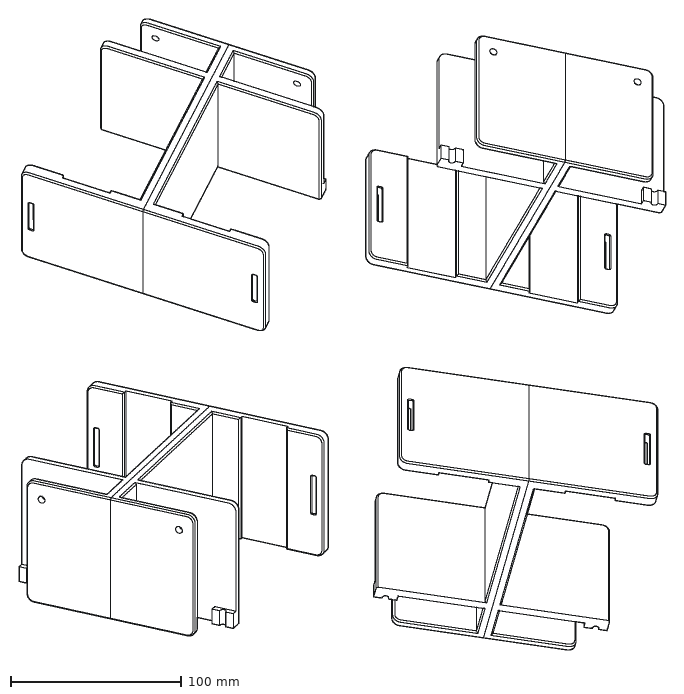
import cadquery as cq

HEIGHT = 80.0
DEPTH = 135.0
WALL = 5.0
FRONT_WALL = 7.8
BACK_GAP = 20.0
CORNER_RADIUS = 5.0
EDGE_CHAMFER = 1.0

FRONT_REACH = 77.5
MIDDLE_REACH = 70.0
BACK_REACH = 55.0

SLOT_WIDTH = 2.8
SLOT_LENGTH = 24.8
SLOT_INSET = 6.5
SLOT_CORNER_RADIUS = 0.8
SLOT_CHAMFER = 0.55

RECESS_WIDTH = 30.0
RECESS_DEPTH = 2.8
RECESS_INSET = 24.5

LUG_WIDTH = 14.0
LUG_DEPTH = 3.5
LUG_HEIGHT = 9.8
GROOVE_WIDTH = 3.9
GROOVE_DEPTH = 2.3

HOLE_DIAMETER = 4.3
HOLE_INSET = 10.0
HOLE_DROP = 10.8

BACK_PLATE_Y = DEPTH - WALL
MIDDLE_BACK_Y = BACK_PLATE_Y - BACK_GAP
MIDDLE_FRONT_Y = MIDDLE_BACK_Y - WALL


def block(x_min, x_max, y_min, y_max, z_min, z_max):
    """Box given by its limits along the three axes."""
    size = (x_max - x_min, y_max - y_min, z_max - z_min)
    return cq.Workplane("XY").box(*size, centered=False).translate((x_min, y_min, z_min))


def rounded_plate(reach, y_front, thickness, z_min, chamfered_faces):
    """Plate from the seam to its reach, with round outer corners and chamfered face edges."""
    y_back = y_front + thickness
    full_plate = block(-reach, reach, y_front, y_back, z_min, HEIGHT).edges("|Y").fillet(CORNER_RADIUS)
    for face in chamfered_faces:
        full_plate = full_plate.faces(face).edges().chamfer(EDGE_CHAMFER)
    return full_plate.intersect(block(0, reach, y_front, y_back, 0, HEIGHT))


def make_web():
    """Web beside the seam, stopping short of the chamfers on the outer plate faces."""
    web = block(0, WALL, EDGE_CHAMFER, DEPTH - EDGE_CHAMFER, 0, HEIGHT)
    return web.faces(">X").edges("|Y").chamfer(EDGE_CHAMFER)


def slot_cutter():
    """Slot with rounded corners that widens by a chamfer at both faces of the front plate."""
    x = FRONT_REACH - SLOT_INSET
    mouth_width = SLOT_WIDTH + 2 * SLOT_CHAMFER
    mouth_length = SLOT_LENGTH + 2 * SLOT_CHAMFER
    mouth_radius = SLOT_CORNER_RADIUS + SLOT_CHAMFER
    outline = cq.Sketch().rect(SLOT_WIDTH, SLOT_LENGTH).vertices().fillet(SLOT_CORNER_RADIUS)
    mouth_outline = cq.Sketch().rect(mouth_width, mouth_length).vertices().fillet(mouth_radius)
    through = cq.Workplane("XZ", origin=(x, FRONT_WALL, HEIGHT / 2)).placeSketch(outline).extrude(FRONT_WALL)
    front_mouth = (
        cq.Workplane("XZ", origin=(x, SLOT_CHAMFER, HEIGHT / 2))
        .placeSketch(outline, mouth_outline.moved(cq.Location(cq.Vector(0, 0, SLOT_CHAMFER))))
        .loft(ruled=True)
    )
    back_mouth = front_mouth.mirror("XZ", (0, FRONT_WALL / 2, 0))
    return through.union(front_mouth).union(back_mouth)


def recess_cutter():
    """Full-height recess whose long edges are chamfered at the inner face."""
    x_max = FRONT_REACH - RECESS_INSET
    x_min = x_max - RECESS_WIDTH
    y_floor = FRONT_WALL - RECESS_DEPTH
    y_chamfer = FRONT_WALL - EDGE_CHAMFER
    outline = [
        (x_min, y_floor),
        (x_max, y_floor),
        (x_max, y_chamfer),
        (x_max + EDGE_CHAMFER, FRONT_WALL),
        (x_min - EDGE_CHAMFER, FRONT_WALL),
        (x_min, y_chamfer),
    ]
    return cq.Workplane("XY").polyline(outline).close().extrude(HEIGHT)


def make_front_plate():
    plate = rounded_plate(FRONT_REACH, 0, FRONT_WALL, 0, ("<Y", ">Y"))
    return plate.cut(slot_cutter()).cut(recess_cutter())


def make_middle_plate():
    """Plate with square, unchamfered bottom edge: its rounded lower end is trimmed off."""
    trimmed_end = -2 * CORNER_RADIUS
    return rounded_plate(MIDDLE_REACH, MIDDLE_FRONT_Y, WALL, trimmed_end, ("<Y",))


def make_lug():
    """Lug flush with the end and bottom of the middle plate, grooved along Z."""
    x_min = MIDDLE_REACH - LUG_WIDTH
    y_back = MIDDLE_BACK_Y + LUG_DEPTH
    lug = block(x_min, MIDDLE_REACH, MIDDLE_BACK_Y, y_back, 0, LUG_HEIGHT)
    groove_centre = (MIDDLE_REACH - LUG_WIDTH / 2, y_back, 0)
    groove = (
        cq.Workplane("XY", origin=groove_centre)
        .slot2D(2 * GROOVE_DEPTH, GROOVE_WIDTH, 90)
        .extrude(LUG_HEIGHT)
    )
    return lug.cut(groove)


def make_back_plate():
    plate = rounded_plate(BACK_REACH, BACK_PLATE_Y, WALL, 0, ("<Y", ">Y"))
    hole_centre = (BACK_REACH - HOLE_INSET, DEPTH, HEIGHT - HOLE_DROP)
    hole = cq.Workplane("XZ", origin=hole_centre).circle(HOLE_DIAMETER / 2).extrude(WALL)
    return plate.cut(hole)


def make_frame_half(mirrored):
    """Half frame on the +X side, or its mirror image on the -X side."""
    half = make_web()
    for part in (make_front_plate(), make_middle_plate(), make_lug(), make_back_plate()):
        half = half.union(part)
    return half.mirror("YZ") if mirrored else half


frame_halves = [make_frame_half(mirrored).val() for mirrored in (False, True)]

result = cq.Compound.makeCompound(frame_halves)